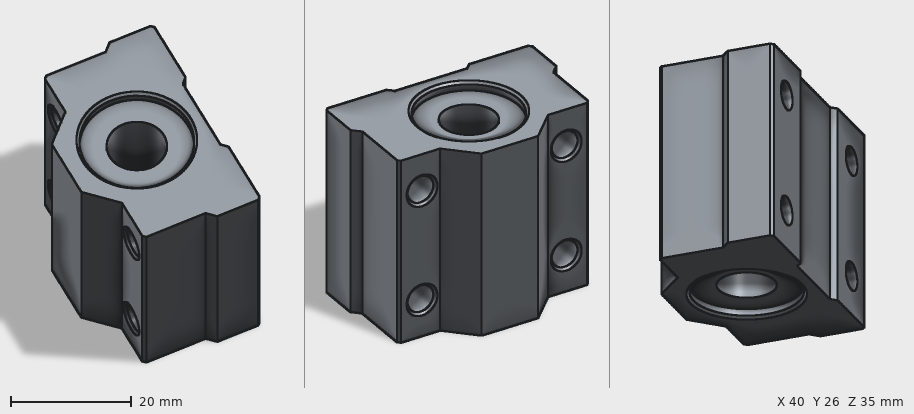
import cadquery as cq

width = 40.0
depth = 26.0
length = 35.0

half_width = width / 2
back_y = depth / 2
nose_y = -depth / 2
nose_height = 5.0
nose_half_width = 5.5
shoulder_y = nose_y + nose_height
side_step = 1.45
flange_thickness = 8.1
flange_front_y = back_y - flange_thickness
body_half_width = half_width - side_step
channel_depth = 1.0
channel_half_width = 8.0
edge_break = channel_depth / 2

shaft_diameter = 10.0
recess_diameter = 19.0
recess_depth = 1.7
recess_chamfer = edge_break

hole_diameter = 5.0
hole_chamfer = edge_break
hole_spacing_x = 28.0
hole_spacing_z = 21.0


def block():
    """Extruded block; all slopes of the profile are at 45 degrees."""
    right_side = [
        (nose_half_width, nose_y),
        (nose_half_width + nose_height, shoulder_y),
        (body_half_width - edge_break, shoulder_y),
        (body_half_width, shoulder_y + edge_break),
        (body_half_width, flange_front_y - side_step),
        (half_width, flange_front_y),
        (half_width, back_y - edge_break),
        (half_width - edge_break, back_y),
        (channel_half_width, back_y),
        (channel_half_width - channel_depth, back_y - channel_depth),
    ]
    left_side = [(-x, y) for x, y in reversed(right_side)]
    profile = cq.Workplane("XY").polyline(right_side + left_side).close()
    return profile.extrude(length / 2, both=True)


def chamfered_recess():
    """Cutter for the bearing recess in the +Z end, widening at its mouth."""
    mouth_radius = recess_diameter / 2 + recess_chamfer
    top = length / 2
    return (
        cq.Workplane("XZ")
        .moveTo(0, top)
        .lineTo(mouth_radius, top)
        .lineTo(recess_diameter / 2, top - recess_chamfer)
        .lineTo(recess_diameter / 2, top - recess_depth)
        .lineTo(0, top - recess_depth)
        .close()
        .revolve(360, (0, 0, 0), (0, 1, 0))
    )


def mounting_hole(x, z):
    """Cutter for a through hole along Y, countersunk at the shoulder."""
    radius = hole_diameter / 2
    return (
        cq.Workplane("XY")
        .moveTo(0, shoulder_y)
        .lineTo(radius + hole_chamfer, shoulder_y)
        .lineTo(radius, shoulder_y + hole_chamfer)
        .lineTo(radius, back_y)
        .lineTo(0, back_y)
        .close()
        .revolve(360, (0, 0, 0), (0, 1, 0))
        .translate((x, 0, z))
    )


result = block()

shaft_bore = cq.Workplane("XY").circle(shaft_diameter / 2).extrude(length / 2, both=True)
result = result.cut(shaft_bore)

end_recess = chamfered_recess()
result = result.cut(end_recess).cut(end_recess.mirror("XY"))

for x in (-hole_spacing_x / 2, hole_spacing_x / 2):
    for z in (-hole_spacing_z / 2, hole_spacing_z / 2):
        result = result.cut(mounting_hole(x, z))